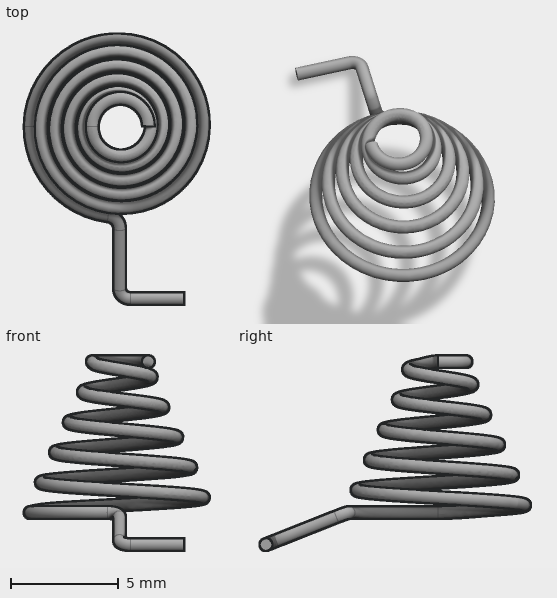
import cadquery as cq
import math

wire_diameter = 0.6
base_radius = 4.19
ring_radius = 1.3
turn_pitch = 1.4
spiral_axis_x = -0.04
middle_turn_radii = [3.63, 2.98, 2.33, 1.68]
points_per_turn = 12

leg_x = spiral_axis_x
tail_y = -7.99
tail_drop = 1.49
tail_end_x = 2.97
arc_end_x = -0.57
tail_bend_radius = 0.5

turn_radii = [base_radius + spiral_axis_x, *middle_turn_radii, ring_radius + spiral_axis_x]
turn_count = len(turn_radii) - 1
top_z = turn_count * turn_pitch


def spiral_point(step):
    """Point on the conical coil, running clockwise from the -X side."""
    turn = min(step // points_per_turn, turn_count - 1)
    turns_done = step / points_per_turn
    shrink = turn_radii[turn + 1] - turn_radii[turn]
    radius = turn_radii[turn] + shrink * (turns_done - turn)
    angle = math.pi - 2 * math.pi * turns_done
    return cq.Vector(
        spiral_axis_x + radius * math.cos(angle),
        radius * math.sin(angle),
        turn_pitch * turns_done,
    )


def base_point(angle):
    """Point on the flat bottom arc."""
    return cq.Vector(base_radius * math.cos(angle), base_radius * math.sin(angle), 0)


arc_end_angle = -math.acos(arc_end_x / base_radius)
arc_middle_angle = (arc_end_angle - math.pi) / 2
arc_end = base_point(arc_end_angle)
arc_end_direction = cq.Vector(-math.sin(arc_end_angle), math.cos(arc_end_angle), 0)
base_arc = cq.Edge.makeThreePointArc(arc_end, base_point(arc_middle_angle), base_point(math.pi))

corner_reach = (leg_x - arc_end_x) / arc_end_direction.x
upper_corner = arc_end + arc_end_direction * corner_reach
lower_corner = cq.Vector(leg_x, tail_y, -tail_drop)
leg_direction = (lower_corner - upper_corner).normalized()
leg_top = upper_corner + leg_direction * corner_reach
leg_bottom = lower_corner - leg_direction * tail_bend_radius
end_start = lower_corner + cq.Vector(tail_bend_radius, 0, 0)
tail_tip = cq.Vector(tail_end_x, tail_y, -tail_drop)

straight_end = cq.Edge.makeLine(tail_tip, end_start)
lower_bend = cq.Edge.makeTangentArc(end_start, cq.Vector(-1, 0, 0), leg_bottom)
leg = cq.Edge.makeLine(leg_bottom, leg_top)
upper_bend = cq.Edge.makeTangentArc(leg_top, leg_direction * -1, arc_end)

steps = range(turn_count * points_per_turn + 1)
coil = cq.Edge.makeSpline(
    [spiral_point(step) for step in steps],
    tangents=[cq.Vector(0, 2 * math.pi * radius, 0) for radius in (turn_radii[0], turn_radii[-1])],
    parameters=[step / points_per_turn for step in steps],
    scale=False,
)

top_ring = cq.Edge.makeThreePointArc(
    cq.Vector(-ring_radius, 0, top_z),
    cq.Vector(0, ring_radius, top_z),
    cq.Vector(ring_radius, 0, top_z),
)

path = cq.Wire.assembleEdges([straight_end, lower_bend, leg, upper_bend, base_arc, coil, top_ring])
result = (
    cq.Workplane(cq.Plane(origin=tail_tip.toTuple(), xDir=(0, 1, 0), normal=(-1, 0, 0)))
    .circle(wire_diameter / 2)
    .sweep(cq.Workplane(path), isFrenet=False)
)